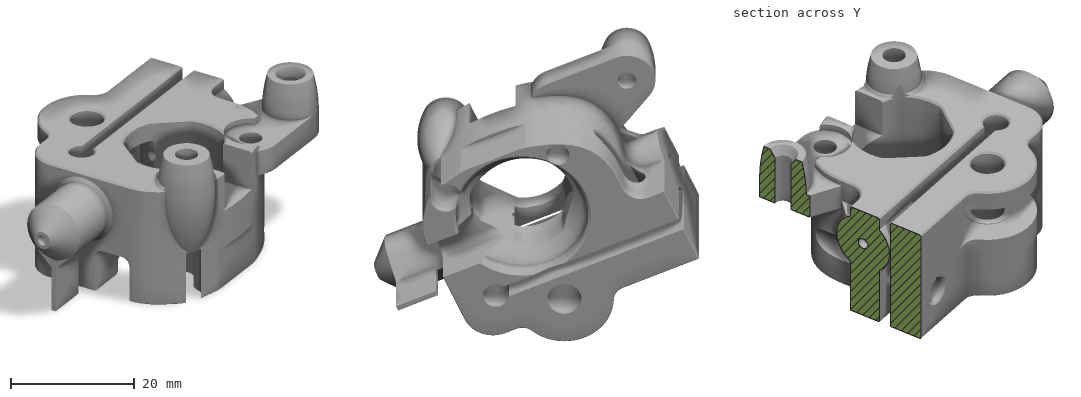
import cadquery as cq
import math


body_height = 21.0
body_left = -18.9
body_front = -16.3
body_back = 22.9
corner_radius = 5.0
front_arc_x = 1.2
front_arc_radius = 8.1
front_arc_end_x = 5.47
screw_wall_x = 9.9
screw_wall_y = -11.25
right_end_x = 11.28
right_end_y = 6.77
right_bulge_x = 12.05
back_arc_y = 17.05
arm_right = -5.0
arm_root_radius = 3.0
top_chamfer = 0.3
bottom_chamfer = 0.15
relief_x = 11.5
relief_height = 7.5

pivot_x = -16.85
lobe_radius = 8.0
lobe_blend_radius = 2.4
pivot_hole_radius = 2.75
pocket_radius = 9.0
pocket_floor = 11.4
pocket_roof = 17.5
window_outer_y = 5.95
window_inner_y = 4.15
window_outer_x = -10.2
window_inner_x = -6.5
washer_radius = 3.85
washer_height = 0.12

slot_x = -11.8
slot_width = 2.04
slot_end_radius = 2.1

bore_radius = 8.5
bore_flat_start = 105
bore_flat_end = 152
bore_side_radius = 12.4
bore_blend_radius = 2.0
bore_side_x = 7.1
motor_recess_radius = 10.7
motor_recess_depth = 2.5
recess_edge_chamfer = 0.4

notch_half_width = 4.1
notch_floor = 14.05

screw_x = 8.07
front_screw_y = -9.86
middle_screw_y = 9.9
back_post_y = 22.1
screw_hole_radius = 1.88
back_hole_radius = 1.5
front_counterbore_radius = 2.55
countersink_radius = 2.5
countersink_depth = 1.5

post_radius = 4.6
post_top_radius = 3.75
post_top = 26.0
post_belt_top = 19.8
post_belt_bottom = 19.05
post_bulge_inset = 0.2
post_bulge_drop = 0.3
post_foot_radius = 2.35
post_foot = 9.15
post_collar = 0.4
plate_bottom = 15.4
plate_top = 19.8
plate_clearance_radius = 4.35
plate_clearance_x = 6.3

filament_x = -7.55
filament_z = 14.5
filament_hole_radius = 0.9
tube_radius = 5.0
tube_collar = 0.7
tube_end = -25.4
tube_tip = -28.85
tube_tip_radius = 1.5
web_thickness = 0.84
web_start = -18.35
boss_radius = 5.2
boss_front = 12.8
boss_cone_length = 2.7
boss_cone_radius = 3.25
gusset_left = -2.84
gusset_top = 16.8

clamp_y = 17.5
clamp_z = 6.85
clamp_radius = 2.1
clamp_chamfer = 0.4
access_left = -5.27
access_right = 1.2
access_height = 7.73
access_radius = 1.4


def polar(radius, degrees):
    angle = math.radians(degrees)
    return (radius * math.cos(angle), radius * math.sin(angle))


def cylinder_z(x, y, radius, bottom, top):
    return cq.Workplane("XY", origin=(x, y, bottom)).circle(radius).extrude(top - bottom)


def box(x0, x1, y0, y1, z0, z1):
    return cq.Workplane("XY").box(x1 - x0, y1 - y0, z1 - z0, centered=False).translate((x0, y0, z0))


def body_prism():
    arc_centre_y = body_front + front_arc_radius
    sweep = math.asin((front_arc_end_x - front_arc_x) / front_arc_radius)
    front_arc_end = (front_arc_end_x, arc_centre_y - front_arc_radius * math.cos(sweep))
    front_direction = (math.cos(sweep), math.sin(sweep))
    bulge_angle = 2 * math.atan2(right_bulge_x - right_end_x, right_end_y)
    wall_direction = (-math.sin(bulge_angle), math.cos(bulge_angle))
    mirrored_direction = (-wall_direction[0], wall_direction[1])
    block = (
        cq.Workplane("XY")
        .moveTo(body_left, body_back)
        .lineTo(body_left, body_front + corner_radius)
        .radiusArc((body_left + corner_radius, body_front), -corner_radius)
        .lineTo(front_arc_x, body_front)
        .radiusArc(front_arc_end, -front_arc_radius)
        .spline(
            [(screw_wall_x, screw_wall_y), (right_end_x, -right_end_y)],
            tangents=[front_direction, mirrored_direction],
            includeCurrent=True,
        )
        .threePointArc((right_bulge_x, 0), (right_end_x, right_end_y))
        .spline([(0, back_arc_y)], tangents=[wall_direction, (-1, 0)], includeCurrent=True)
        .lineTo(arm_right + arm_root_radius, back_arc_y)
        .radiusArc((arm_right, back_arc_y + arm_root_radius), arm_root_radius)
        .lineTo(arm_right, body_back)
        .close()
        .extrude(body_height)
    )
    lobe = cylinder_z(pivot_x, 0, lobe_radius, 0, body_height)
    blend_y = math.sqrt(lobe_radius**2 - (pivot_x - body_left) ** 2)
    reach = 0.5
    corners = cq.selectors.BoxSelector(
        (body_left - reach, -blend_y - reach, 0), (body_left + reach, blend_y + reach, body_height)
    )
    return block.union(lobe).edges("|Z").edges(corners).fillet(lobe_blend_radius)


def bore_prism():
    side_centre_x = bore_side_x - bore_side_radius
    meet_x = (bore_side_radius**2 - bore_radius**2 - side_centre_x**2) / (-2 * side_centre_x)
    meet_y = math.sqrt(bore_radius**2 - meet_x**2)
    return (
        cq.Workplane("XY")
        .moveTo(meet_x, -meet_y)
        .threePointArc((bore_side_x, 0), (meet_x, meet_y))
        .threePointArc((0, bore_radius), polar(bore_radius, bore_flat_start))
        .lineTo(*polar(bore_radius, bore_flat_end))
        .threePointArc((-bore_radius, 0), polar(bore_radius, -bore_flat_end))
        .lineTo(*polar(bore_radius, -bore_flat_start))
        .threePointArc((0, -bore_radius), (meet_x, -meet_y))
        .close()
        .extrude(post_top)
        .edges("|Z")
        .fillet(bore_blend_radius)
    )


def motor_recess():
    mouth = motor_recess_radius + recess_edge_chamfer
    return (
        cq.Workplane("XZ")
        .polyline(
            [
                (0, 0),
                (mouth, 0),
                (motor_recess_radius, recess_edge_chamfer),
                (motor_recess_radius, motor_recess_depth),
                (0, motor_recess_depth + motor_recess_radius),
            ]
        )
        .close()
        .revolve(360, (0, 0), (0, 1))
    )


def idler_pocket():
    flare = pivot_x - body_left
    mouth_y = pocket_radius + flare
    outside_x = pivot_x - 2 * lobe_radius
    bend_x = pivot_x - flare * math.sqrt(0.5)
    bend_y = mouth_y - flare * math.sqrt(0.5)
    height = pocket_roof - pocket_floor
    plane = cq.Workplane("XY", origin=(0, 0, pocket_floor))
    swing = (
        plane.moveTo(outside_x, -mouth_y)
        .lineTo(body_left, -mouth_y)
        .threePointArc((bend_x, -bend_y), (pivot_x, -pocket_radius))
        .threePointArc((pivot_x + pocket_radius, 0), (pivot_x, pocket_radius))
        .threePointArc((bend_x, bend_y), (body_left, mouth_y))
        .lineTo(outside_x, mouth_y)
        .close()
        .extrude(height)
    )
    window = (
        plane.polyline(
            [
                (window_outer_x, -window_outer_y),
                (window_inner_x, -window_inner_y),
                (window_inner_x, window_inner_y),
                (window_outer_x, window_outer_y),
            ]
        )
        .close()
        .extrude(height)
    )
    washer = cylinder_z(pivot_x, 0, washer_radius, pocket_floor, pocket_floor + washer_height)
    return swing.union(window).cut(washer)


def slot_cut():
    slit = box(
        slot_x - slot_width / 2, slot_x + slot_width / 2, front_screw_y, body_back, 0, body_height
    )
    return slit.union(cylinder_z(slot_x, front_screw_y, slot_end_radius, 0, body_height))


def plate_clearance():
    hollow = cylinder_z(screw_x, middle_screw_y, plate_clearance_radius, plate_top, body_height)
    open_side = box(
        plate_clearance_x, screw_x + post_radius, middle_screw_y, back_post_y, plate_top, body_height
    )
    return hollow.union(open_side)


def access_window():
    window = box(access_left, access_right, body_front, 0, 0, access_height)
    return window.edges("|Y and >Z").fillet(access_radius)


def main_body():
    body = body_prism().faces("<Z").edges().chamfer(bottom_chamfer)
    body = body.cut(slot_cut()).cut(bore_prism())
    body = body.cut(cylinder_z(pivot_x, 0, pivot_hole_radius, 0, body_height))
    body = body.faces(">Z").edges().chamfer(top_chamfer)
    body = body.cut(plate_clearance())
    body = body.cut(motor_recess()).cut(access_window()).cut(idler_pocket())
    body = body.cut(
        box(0, right_bulge_x, -notch_half_width, notch_half_width, notch_floor, body_height)
    )
    return body.cut(
        box(relief_x, right_bulge_x, -right_end_y, right_end_y, 0, relief_height)
    )


def mounting_plate():
    rise = back_post_y - back_arc_y
    distance = math.hypot(screw_x, rise)
    edge_angle = math.degrees(math.atan2(rise, screw_x) + math.asin(post_radius / distance))
    touch = polar(post_radius, edge_angle + 90)
    right = screw_x + post_radius
    return (
        cq.Workplane("XY", origin=(0, 0, plate_bottom))
        .moveTo(0, back_arc_y)
        .lineTo(screw_x + touch[0], back_post_y + touch[1])
        .threePointArc((screw_x, back_post_y + post_radius), (right, back_post_y))
        .lineTo(right, middle_screw_y)
        .threePointArc((screw_x, middle_screw_y - post_radius), (screw_x - post_radius, middle_screw_y))
        .close()
        .extrude(plate_top - plate_bottom)
    )


def post_crown(y):
    bulge = (post_radius - post_bulge_inset, (post_belt_top + post_top) / 2 - post_bulge_drop)
    return (
        cq.Workplane("XZ")
        .moveTo(0, post_belt_bottom)
        .lineTo(post_radius, post_belt_bottom)
        .lineTo(post_radius, post_belt_top)
        .threePointArc(bulge, (post_top_radius, post_top))
        .lineTo(0, post_top)
        .close()
        .revolve(360, (0, 0), (0, 1))
        .translate((screw_x, y, 0))
    )


def front_post_foot():
    height = post_belt_bottom - post_foot
    inset = post_radius - post_foot_radius
    curve_radius = (height**2 + inset**2) / (2 * inset)
    return (
        cq.Workplane("XZ")
        .moveTo(0, post_foot)
        .lineTo(post_foot_radius, post_foot)
        .radiusArc((post_radius, post_belt_bottom), -curve_radius)
        .lineTo(0, post_belt_bottom)
        .close()
        .revolve(360, (0, 0), (0, 1))
        .translate((screw_x, front_screw_y, 0))
    )


def front_post_collar():
    wide = post_radius + post_collar
    cone = cq.Workplane(
        cq.Solid.makeCone(wide, post_radius, post_collar, cq.Vector(screw_x, front_screw_y, body_height))
    )
    return cone.intersect(body_prism().translate((0, 0, post_collar)))


def posts():
    attached = mounting_plate().union(post_crown(back_post_y)).union(post_crown(front_screw_y))
    attached = attached.union(front_post_foot()).union(front_post_collar())
    return attached.cut(bore_prism())


def filament_tube():
    flare = tube_radius + tube_collar
    tube = (
        cq.Workplane("XY")
        .polyline(
            [
                (0, body_front),
                (flare, body_front),
                (tube_radius, body_front - tube_collar),
                (tube_radius, tube_end),
                (tube_tip_radius, tube_tip),
                (0, tube_tip),
            ]
        )
        .close()
        .revolve(360, (0, 0), (0, 1))
        .translate((filament_x, 0, filament_z))
    )
    tangent = tube_radius * math.sqrt(0.5)
    keel = (
        cq.Workplane("XZ", origin=(filament_x, body_front, filament_z))
        .polyline([(-tangent, -tangent), (0, -2 * tangent), (tangent, -tangent)])
        .close()
        .extrude(body_front - tube_end)
    )
    half = web_thickness / 2
    web = box(filament_x - half, filament_x + half, tube_end, web_start, 0, filament_z - tube_radius)
    return tube.union(keel).union(web)


def rear_boss():
    cone_end = boss_front - boss_cone_length
    boss = (
        cq.Workplane("XY")
        .polyline(
            [
                (0, cone_end),
                (boss_cone_radius, cone_end),
                (boss_radius, boss_front),
                (boss_radius, body_back),
                (0, body_back),
            ]
        )
        .close()
        .revolve(360, (0, 0), (0, 1))
        .translate((filament_x, 0, filament_z))
    )
    gusset = (
        cq.Workplane("XY", origin=(0, 0, plate_bottom))
        .polyline(
            [
                (gusset_left, back_arc_y),
                (0, back_arc_y),
                (gusset_left, back_arc_y - gusset_left),
            ]
        )
        .close()
        .extrude(gusset_top - plate_bottom)
    )
    return boss.union(gusset)


def filament_hole():
    return (
        cq.Workplane("XZ", origin=(filament_x, body_back, filament_z))
        .circle(filament_hole_radius)
        .extrude(body_back - tube_tip)
    )


def screw_holes():
    holes = cylinder_z(screw_x, back_post_y, back_hole_radius, 0, post_top)
    for y in (front_screw_y, middle_screw_y):
        holes = holes.union(cylinder_z(screw_x, y, screw_hole_radius, 0, post_top))
    holes = holes.union(cylinder_z(screw_x, front_screw_y, front_counterbore_radius, 0, post_foot))
    countersink = cq.Solid.makeCone(
        back_hole_radius,
        countersink_radius,
        countersink_depth,
        cq.Vector(screw_x, back_post_y, post_top - countersink_depth),
    )
    return holes.union(cq.Workplane(countersink))


def clamp_hole():
    tangent = clamp_radius * math.sqrt(0.5)
    plane = cq.Workplane("YZ", origin=(body_left, clamp_y, clamp_z))
    length = right_bulge_x - body_left
    round_part = plane.circle(clamp_radius).extrude(length)
    roof = plane.polyline([(-tangent, tangent), (tangent, tangent), (0, 2 * tangent)]).close().extrude(length)
    flare = cq.Solid.makeCone(
        clamp_radius + clamp_chamfer,
        clamp_radius,
        clamp_chamfer,
        cq.Vector(body_left, clamp_y, clamp_z),
        cq.Vector(1, 0, 0),
    )
    return round_part.union(roof).union(cq.Workplane(flare))


result = main_body().union(rear_boss()).union(posts()).union(filament_tube())
result = result.cut(filament_hole()).cut(screw_holes()).cut(clamp_hole())